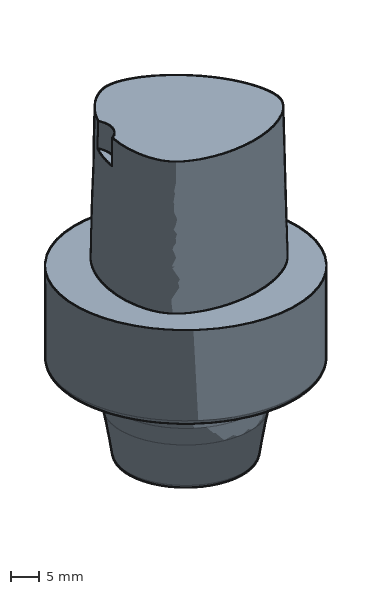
import cadquery as cq
import math

total_height = 68
shank_height = 30.0
shank_base_z = total_height - shank_height

shank_base_diameter = 35.0
shank_taper = 1 / 20
lobe_eccentricity = 1.25
outline_points = 48

notch_radius = 5.0
notch_depth = 1.6
notch_height = 5.5

collar_diameter = 50.0
collar_height = 18.85
collar_slope = math.radians(20)

spigot_diameter = 30.0
spigot_blend_top_z = 13.2
spigot_blend_bottom_z = 9.7
spigot_taper = math.radians(10)

edge_radius = 1.0


def shank_outline(mean_diameter):
    """Closed curve with three lobes, one of them towards +Y."""
    radius = mean_diameter / 2
    points = []
    for i in range(outline_points):
        angle = 2 * math.pi * i / outline_points
        across = (radius * math.sin(angle)
                  + 2 * lobe_eccentricity * math.sin(2 * angle)
                  + lobe_eccentricity * math.sin(4 * angle))
        along = (-radius * math.cos(angle)
                 + 2 * lobe_eccentricity * math.cos(2 * angle)
                 - lobe_eccentricity * math.cos(4 * angle))
        points.append((across, along))
    return points


def make_turned_body():
    """Collar and spigot, revolved about Z, with sharp corners rounded afterwards."""
    collar_radius = collar_diameter / 2
    spigot_radius = spigot_diameter / 2
    collar_bottom_z = shank_base_z - collar_height
    cone_bottom_z = collar_bottom_z - (collar_radius - spigot_radius) * math.tan(collar_slope)

    blend_radius = (spigot_blend_top_z - spigot_blend_bottom_z) / math.sin(spigot_taper)

    def blend_point(angle):
        return (spigot_radius - blend_radius * (1 - math.cos(angle)),
                spigot_blend_top_z - blend_radius * math.sin(angle))

    blend_end = blend_point(spigot_taper)
    tip_radius = blend_end[0] - spigot_blend_bottom_z * math.tan(spigot_taper)

    body = (
        cq.Workplane("XZ")
        .moveTo(0, shank_base_z)
        .lineTo(collar_radius, shank_base_z)
        .lineTo(collar_radius, collar_bottom_z)
        .lineTo(spigot_radius, cone_bottom_z)
        .lineTo(spigot_radius, spigot_blend_top_z)
        .threePointArc(blend_point(spigot_taper / 2), blend_end)
        .lineTo(tip_radius, 0)
        .lineTo(0, 0)
        .close()
        .revolve(360, (0, 0), (0, 1))
    )
    rounded_heights = [collar_bottom_z, cone_bottom_z, 0]
    for z in rounded_heights:
        body = body.edges(cq.NearestToPointSelector((0, 0, z))).fillet(edge_radius)
    return body


def make_shank():
    end_diameter = shank_base_diameter - shank_height * shank_taper
    shank = (
        cq.Workplane("XY", origin=(0, 0, shank_base_z))
        .spline(shank_outline(shank_base_diameter), periodic=True)
        .close()
        .workplane(offset=shank_height)
        .spline(shank_outline(end_diameter), periodic=True)
        .close()
        .loft(combine=True)
    )
    flank_y = lobe_eccentricity - end_diameter / 2
    notch = (
        cq.Workplane("XY", origin=(0, flank_y + notch_depth - notch_radius, total_height - notch_height))
        .circle(notch_radius)
        .extrude(notch_height)
    )
    return shank.cut(notch)


result = make_turned_body().union(make_shank())